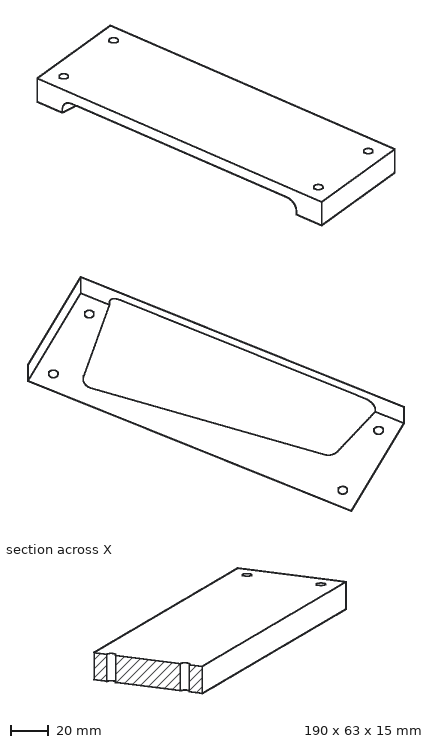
import cadquery as cq

length = 190.0
width = 63.0
height = 15.0

hole_diameter = 5.0
hole_spacing_x = 170.0
hole_spacing_y = 43.0

pocket_height = 8.4
left_pocket_depth = 53.2
right_pocket_depth = 36.1
pocket_round = 6.0
front_inset = 17.0
left_back_inset = 26.0
right_back_inset = 24.3


def make_plate():
    """Rectangular plate with its underside at Z = 0."""
    return cq.Workplane("XY").box(length, width, height, centered=(True, True, False))


def make_pocket():
    """Tapered pocket volume with a slanted back wall, rounded back corners and a rounded ceiling edge."""
    front_y = -width / 2
    outline = [
        (-length / 2 + front_inset, front_y),
        (length / 2 - front_inset, front_y),
        (length / 2 - right_back_inset, front_y + right_pocket_depth),
        (-length / 2 + left_back_inset, front_y + left_pocket_depth),
    ]
    pocket = cq.Workplane("XY").polyline(outline).close().extrude(pocket_height)
    pocket = pocket.edges("|Z and (not <Y)").fillet(pocket_round)
    rounded_edges = pocket.faces(">Z").edges("not <Y")
    return rounded_edges.fillet(pocket_round)


def drill_holes(body):
    """One through hole near each corner of the plate."""
    top = body.faces(">Z").workplane(origin=(0, 0, height))
    return top.rarray(hole_spacing_x, hole_spacing_y, 2, 2).hole(hole_diameter)


result = drill_holes(make_plate().cut(make_pocket()))